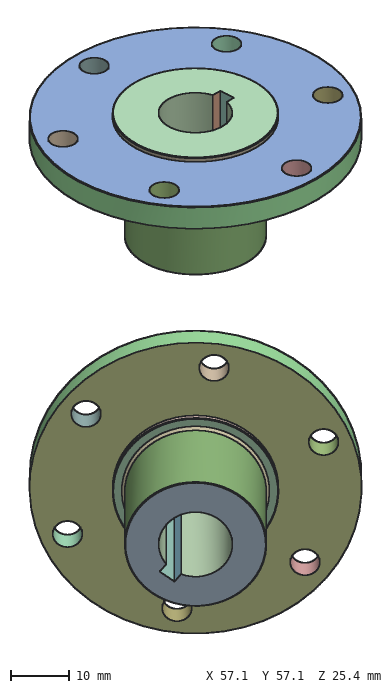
import cadquery as cq

total_height = 25.4
flange_diameter = 57.15
flange_thickness = 4.45
collar_diameter = 28.6
upper_collar_height = 0.85
lower_collar_height = 1.05
hub_diameter = 24.4

bore_diameter = 12.7
keyway_width = 3.2
keyway_reach = 8.0
bolt_hole_diameter = 5.1
bolt_circle_diameter = 47.6
bolt_hole_count = 6

edge_chamfer = 0.145
hub_root_chamfer = 0.5

flange_top = total_height - upper_collar_height
flange_bottom = flange_top - flange_thickness
collar_bottom = flange_bottom - lower_collar_height


def disc(diameter, bottom, top):
    """Solid cylinder on the Z axis between two levels."""
    return cq.Workplane("XY").workplane(offset=bottom).circle(diameter / 2).extrude(top - bottom)


flange = disc(flange_diameter, flange_bottom, flange_top).faces(">Z").edges().chamfer(edge_chamfer)
collar = disc(collar_diameter, collar_bottom, total_height).edges("%CIRCLE").chamfer(edge_chamfer)
hub = disc(hub_diameter, 0, collar_bottom).faces("<Z").edges().chamfer(edge_chamfer)

hub_and_collar = hub.union(collar)
shoulder = hub_and_collar.faces(cq.selectors.NearestToPointSelector((0, 0, collar_bottom)))
hub_and_collar = shoulder.edges(cq.selectors.RadiusNthSelector(0)).chamfer(hub_root_chamfer)

body = hub_and_collar.union(flange)

bore = disc(bore_diameter, 0, total_height)
keyway = (
    cq.Workplane("XY")
    .center(0, keyway_reach / 2)
    .rect(keyway_width, keyway_reach)
    .extrude(total_height)
)

bolt_holes = (
    cq.Workplane("XY")
    .workplane(offset=flange_bottom)
    .polarArray(bolt_circle_diameter / 2, 0, 360, bolt_hole_count)
    .circle(bolt_hole_diameter / 2)
    .extrude(flange_thickness)
)

result = body.cut(bore).cut(keyway).cut(bolt_holes)